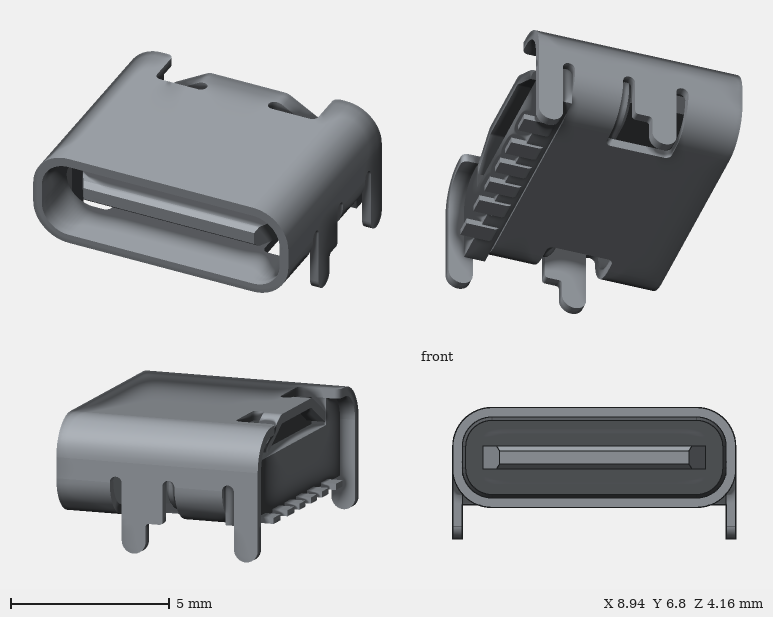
import cadquery as cq
import math


margin = 0.09

width = 8.94
depth = 6.8
shell_height = 3.165
wall = 0.3
corner_radius = 1.24
inner_radius = corner_radius - wall
inner_half_width = width / 2 - wall
mid_height = shell_height / 2
roof_underside = shell_height - wall

leg_drop = 0.99
leg_width = 0.805
slot_width = 0.4
slot_radius = slot_width / 2
slot_crown = corner_radius
rear_leg_front = depth - leg_width
bottom_plate_end = rear_leg_front - slot_width
front_leg_front = 2.21
front_leg_rear = front_leg_front + leg_width
shoulder_rear = 3.585
shoulder_radius = 0.11
opening_front = front_leg_front - slot_width
opening_rear = shoulder_rear + slot_width
opening_half_width = 2.68

tab_front = 5.8
tab_rear = 6.41
tab_slot_width = 0.41
tab_slot_inner = 1.08
tab_slot_front = tab_front - tab_slot_width
tab_slot_radius = tab_slot_width / 2
notch_half_width = 2.825
notch_corner_radius = 0.2
tab_flat_half_width = 1.25
tab_half_width = 2.66
tab_bend_angle = 30.0
tab_bend_radius = 0.465
tab_corner_radius = 0.18

insulator_front = 3.58
insulator_rear = 6.29
insulator_chamfer = 0.11
insulator_foot = 0.09
recess_floor = 1.97
recess_half_width = 2.92

tongue_half_width = 3.505
tongue_thickness = 0.715
tongue_tip = 0.59
tip_half_width = 2.99
tip_thickness = 0.41
tip_chamfer_depth = 0.18
tip_side_depth = 0.98

foot_front = 5.7
foot_thickness = 0.2
contacts = [(0.5, 0.52), (1.52, 0.59), (2.75, 0.61)]


def box(x0, x1, y0, y1, z0, z1):
    return cq.Workplane("XY").box(x1 - x0, y1 - y0, z1 - z0, centered=False).translate((x0, y0, z0))


def rounded_bar(half_width, height, radius, y0, y1):
    """Bar along Y with a rounded rectangular section centred at mid height."""
    bar = box(-half_width, half_width, y0, y1, mid_height - height / 2, mid_height + height / 2)
    return bar.edges("|Y").fillet(radius)


def slot_crowns():
    """Round upper ends of the slots through both side walls, beside the legs."""
    slot_fronts = (opening_front, shoulder_rear, bottom_plate_end)
    slot_centres = [(front + slot_radius, slot_crown) for front in slot_fronts]
    return cq.Workplane("YZ").pushPoints(slot_centres).circle(slot_radius).extrude(width, both=True)


def round_ended_leg(x0, leg_front):
    """Flat leg one wall thick with a half-round end, starting at x0."""
    tip_radius = leg_width / 2
    straight_end = tip_radius - leg_drop
    return (
        cq.Workplane("YZ", origin=(x0, 0, 0))
        .moveTo(leg_front, slot_crown)
        .lineTo(leg_front, straight_end)
        .threePointArc((leg_front + tip_radius, -leg_drop), (leg_front + leg_width, straight_end))
        .lineTo(leg_front + leg_width, slot_crown)
        .close()
        .extrude(wall)
    )


def legs(side):
    """Front and rear legs in the plane of one side wall; the front one has a shoulder behind it."""
    x0 = inner_half_width if side > 0 else -width / 2
    shoulder = box(x0, x0 + wall, front_leg_front, shoulder_rear, 0, slot_crown)
    front_leg = round_ended_leg(x0, front_leg_front).union(shoulder)
    shoulder_corners = cq.selectors.BoxSelector(
        (x0 - margin, front_leg_rear - margin, -margin),
        (x0 + wall + margin, shoulder_rear + margin, margin),
    )
    front_leg = front_leg.edges("|X").edges(shoulder_corners).fillet(shoulder_radius)
    return front_leg.union(round_ended_leg(x0, rear_leg_front))


def bottom_openings():
    """Space left in the lower half of the tube where the legs were folded out of it."""
    openings = box(-width, width, bottom_plate_end, depth, -margin, slot_crown)
    for side in (-1, 1):
        x0, x1 = sorted((side * opening_half_width, side * width))
        opening = box(x0, x1, opening_front, opening_rear, -margin, slot_crown)
        inner_edges = "|Z and <X" if side > 0 else "|Z and >X"
        openings = openings.union(opening.edges(inner_edges).fillet(slot_radius))
    return openings


def rear_notch():
    """Notch in the rear of the roof, widened into rounded slots in front of the bent tab ends."""
    z0 = roof_underside - margin
    z1 = shell_height + margin
    notch = box(-notch_half_width, notch_half_width, tab_front, depth, z0, z1)
    slot_end_x = tab_slot_inner + tab_slot_radius
    for side in (-1, 1):
        x0, x1 = sorted((side * slot_end_x, side * notch_half_width))
        slot = box(x0, x1, tab_slot_front, tab_front, z0, z1)
        outer_edge = ">X" if side > 0 else "<X"
        slot = slot.edges(f"|Z and {outer_edge} and <Y").fillet(tab_slot_radius)
        round_end = (
            cq.Workplane("XY", origin=(side * slot_end_x, tab_slot_front + tab_slot_radius, z0))
            .circle(tab_slot_radius)
            .extrude(z1 - z0)
        )
        notch = notch.union(slot).union(round_end)
    return notch


def rear_tab():
    """Flat roof strip whose two ends bend down into the notch."""
    angle = math.radians(tab_bend_angle)
    bend_centre_z = shell_height - tab_bend_radius

    def bend_point(radius, turn):
        return (tab_flat_half_width + radius * math.sin(turn), bend_centre_z + radius * math.cos(turn))

    inner_bend_radius = tab_bend_radius - wall
    outer_end = bend_point(tab_bend_radius, angle)
    inner_end = bend_point(inner_bend_radius, angle)
    run = tab_half_width - outer_end[0]
    drop = run * math.tan(angle)
    tip_top = (tab_half_width, outer_end[1] - drop)
    tip_bottom = (inner_end[0] + run, inner_end[1] - drop)
    half = (
        cq.Workplane("XZ")
        .moveTo(0, shell_height)
        .lineTo(tab_flat_half_width, shell_height)
        .threePointArc(bend_point(tab_bend_radius, angle / 2), outer_end)
        .lineTo(*tip_top)
        .lineTo(*tip_bottom)
        .lineTo(*inner_end)
        .threePointArc(bend_point(inner_bend_radius, angle / 2), (tab_flat_half_width, roof_underside))
        .lineTo(0, roof_underside)
        .close()
        .extrude(-(tab_rear - tab_front))
        .translate((0, tab_front, 0))
    )
    tab = half.union(half.mirror("YZ"))
    outline = box(-tab_half_width, tab_half_width, tab_front, tab_rear, 0, shell_height)
    return tab.intersect(outline.edges("|Z").fillet(tab_corner_radius))


def make_shell():
    tube = rounded_bar(width / 2, shell_height, corner_radius, 0, depth)
    tube = tube.cut(rounded_bar(inner_half_width, shell_height - 2 * wall, inner_radius, 0, depth))
    tube = tube.cut(bottom_openings()).cut(slot_crowns()).cut(rear_notch())
    roof_corners = cq.selectors.BoxSelector(
        (-notch_half_width - margin, depth - margin, roof_underside - margin),
        (notch_half_width + margin, depth + margin, shell_height + margin),
    )
    tube = tube.edges("|Z").edges(roof_corners).fillet(notch_corner_radius)
    return tube.union(rear_tab()).union(legs(-1)).union(legs(1))


def tongue():
    """Tongue tapered at the sides and bevelled above and below at its tip."""
    plan = (
        cq.Workplane("XY")
        .moveTo(-tip_half_width, tongue_tip)
        .lineTo(tip_half_width, tongue_tip)
        .lineTo(tongue_half_width, tongue_tip + tip_side_depth)
        .lineTo(tongue_half_width, insulator_front)
        .lineTo(-tongue_half_width, insulator_front)
        .lineTo(-tongue_half_width, tongue_tip + tip_side_depth)
        .close()
        .extrude(shell_height)
    )
    side = (
        cq.Workplane("YZ")
        .moveTo(tongue_tip, mid_height - tip_thickness / 2)
        .lineTo(tongue_tip + tip_chamfer_depth, mid_height - tongue_thickness / 2)
        .lineTo(insulator_front, mid_height - tongue_thickness / 2)
        .lineTo(insulator_front, mid_height + tongue_thickness / 2)
        .lineTo(tongue_tip + tip_chamfer_depth, mid_height + tongue_thickness / 2)
        .lineTo(tongue_tip, mid_height + tip_thickness / 2)
        .close()
        .extrude(width / 2, both=True)
    )
    return plan.intersect(side)


def contact_foot(centre_x, foot_width):
    """Solder foot at board level, rounded below where it turns up into the insulator."""
    bend = foot_thickness * math.sqrt(0.5)
    return (
        cq.Workplane("YZ")
        .moveTo(foot_front, foot_thickness)
        .threePointArc(
            (foot_front + foot_thickness - bend, foot_thickness - bend),
            (foot_front + foot_thickness, 0),
        )
        .lineTo(depth, 0)
        .lineTo(depth, foot_thickness)
        .close()
        .extrude(foot_width / 2, both=True)
        .translate((centre_x, 0, 0))
    )


def make_insulator():
    core = rounded_bar(
        inner_half_width, shell_height - 2 * wall, inner_radius, insulator_front, insulator_rear
    )
    core = core.faces("<Y").chamfer(insulator_chamfer)
    rear_block = box(
        -inner_half_width, inner_half_width, bottom_plate_end, insulator_rear, insulator_foot, mid_height
    )
    tab_recess = box(
        -recess_half_width, recess_half_width, tab_front, insulator_rear, recess_floor, shell_height
    )
    insulator = core.union(rear_block).cut(tab_recess).union(tongue())
    for distance, foot_width in contacts:
        for side in (-1, 1):
            insulator = insulator.union(contact_foot(side * distance, foot_width))
    return insulator


shell = make_shell()
insulator = make_insulator()
result = cq.Compound.makeCompound([shell.val(), insulator.val()])